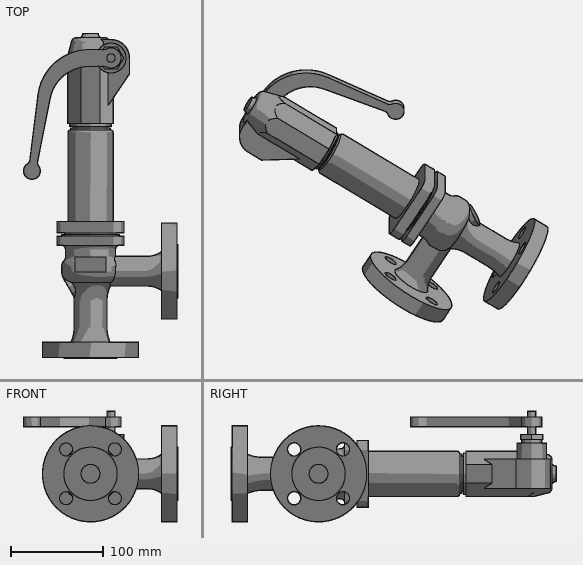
import cadquery as cq
import math


face_distance = 95.0
flange_radius = 52.3
flange_thickness = 17.0
raised_face_radius = 29.0
raised_face_height = 1.0
raised_face_bore_radius = 10.3
bolt_spacing = 53.0
bolt_hole_diameter = 14.0
flange_front = face_distance - raised_face_height
flange_back = flange_front - flange_thickness

flare_radius = 21.2
inlet_radius = 18.0
inlet_flare_start = 61.5
outlet_radius = 16.3
outlet_flare_start = 62.0

shoulder_bottom_y = -31.5
shoulder_top_y = -12.5
shoulder_top_radius = 24.0
bulge_radius = 31.5
bulge_bottom_y = -0.7
bulge_top_y = 5.0
body_neck_radius = 27.2
body_neck_bottom_y = 15.5
body_neck_top_y = 23.0
body_neck_root_radius = 29.7
bulge_blend_share = 0.4

square_size = 72.8
square_corner_radius = 11.0
lower_square_bottom_y = 28.0
lower_square_top_y = 38.2
gasket_radius = 31.5
gasket_top_y = 39.5
spigot_radius = 28.3
upper_square_bottom_y = 41.7
upper_square_top_y = 54.0

tube_radius = 24.7
tube_top_y = 153.5
tube_edge_radius = 3.2
groove_bottom_y = 155.5
groove_top_y = 157.3
groove_radius = 19.0
collar_radius = 22.5

hood_bottom_y = 160.0
hood_corner_radius = tube_radius / math.cos(math.pi / 8)
hood_cone_bottom_y = 227.0
hood_cone_top_y = 247.5
hood_cone_top_radius = 21.2
hood_top_y = 253.8
hood_top_radius = 14.5
knob_top_radius = 8.5
knob_base_radius = 10.5
overall_top_y = 258.5

shaft_x = 22.3
shaft_y = 231.5
housing_radius = 20.0
housing_half_height = 16.0
housing_side_bottom_y = 214.2
housing_tip_x = 19.5
housing_tip_y = 180.3
boss_radius = 16.3
boss_top_z = 33.2
stub_radius = 11.0
nut_bottom_z = 37.0
nut_top_z = 42.8
nut_flat_distance = 24.0
shaft_radius = 4.5
shaft_top_z = 68.2

lever_bottom_z = 51.0
lever_thickness = 11.0
hub_radius = 11.0
arm_half_width = 9.2
bend_start_x = -1.5
outer_bend_radius = 56.2
inner_bend_radius = 43.0
outer_edge_tilt = 7.1
inner_edge_tilt = 11.2
ball_radius = 9.2
ball_x = -63.5
ball_y = 109.0
ball_blend_radius = 5.3

drain_radius = 12.7
drain_tilt = 30.0
drain_face_x = -23.7
drain_face_y = -18.0
drain_length = 19.5

pad_width = 33.2
pad_bottom_y = -0.7
pad_top_y = 15.5
pad_top_z = 35.7


def cylinder_y(radius, bottom, top):
    """Cylinder on the Y axis."""
    return cq.Workplane("XZ", origin=(0, top, 0)).circle(radius).extrude(top - bottom)


def cylinder_on_shaft(radius, bottom, top):
    """Cylinder on the vertical lever shaft axis."""
    return cq.Workplane("XY", origin=(shaft_x, shaft_y, bottom)).circle(radius).extrude(top - bottom)


def tangent_arc_middle(touch, other):
    """Middle of the arc through other that meets the cylinder line (parallel to Y) at touch."""
    across = other[0] - touch[0]
    along = other[1] - touch[1]
    radius = (across**2 + along**2) / (2 * abs(across))
    half_sweep = math.asin(abs(along) / radius) / 2
    middle_across = math.copysign(radius * (1 - math.cos(half_sweep)), across)
    middle_along = math.copysign(radius * math.sin(half_sweep), along)
    return (touch[0] + middle_across, touch[1] + middle_along)


def pipe_end(pipe_radius, flare_start, pipe_start):
    """Pipe, flared neck and drilled flange along -Y, with a raised sealing ring."""
    flare_begin = (pipe_radius, -flare_start)
    flare_end = (flare_radius, -flange_back)
    neck = (
        cq.Workplane("XY")
        .moveTo(0, pipe_start)
        .lineTo(pipe_radius, pipe_start)
        .lineTo(*flare_begin)
        .threePointArc(tangent_arc_middle(flare_begin, flare_end), flare_end)
        .lineTo(0, -flange_back)
        .close()
        .revolve(360, (0, 0, 0), (0, 1, 0))
    )
    disc = cylinder_y(flange_radius, -flange_front, -flange_back)
    sealing_ring = (
        cq.Workplane("XZ", origin=(0, -flange_front, 0))
        .circle(raised_face_radius)
        .circle(raised_face_bore_radius)
        .extrude(raised_face_height)
    )
    bolt_holes = (
        cq.Workplane("XZ", origin=(0, -flange_back, 0))
        .rect(bolt_spacing, bolt_spacing, forConstruction=True)
        .vertices()
        .circle(bolt_hole_diameter / 2)
        .extrude(face_distance - flange_back)
    )
    return neck.union(disc).union(sealing_ring).cut(bolt_holes)


def valve_body():
    """Bulged body of revolution between the inlet pipe and the square flanges."""
    shoulder_bottom = (inlet_radius, shoulder_bottom_y)
    shoulder_top = (shoulder_top_radius, shoulder_top_y)
    bulge_bottom = (bulge_radius, bulge_bottom_y)
    bulge_top = (bulge_radius, bulge_top_y)
    neck_bottom = (body_neck_radius, body_neck_bottom_y)
    neck_top = (body_neck_radius, body_neck_top_y)
    neck_root = (body_neck_root_radius, lower_square_bottom_y)
    blend_joint = (
        body_neck_radius + bulge_blend_share * (bulge_radius - body_neck_radius),
        body_neck_bottom_y + bulge_blend_share * (bulge_top_y - body_neck_bottom_y),
    )
    return (
        cq.Workplane("XY")
        .moveTo(0, shoulder_bottom_y)
        .lineTo(*shoulder_bottom)
        .threePointArc(tangent_arc_middle(shoulder_bottom, shoulder_top), shoulder_top)
        .threePointArc(tangent_arc_middle(bulge_bottom, shoulder_top), bulge_bottom)
        .lineTo(*bulge_top)
        .threePointArc(tangent_arc_middle(bulge_top, blend_joint), blend_joint)
        .threePointArc(tangent_arc_middle(neck_bottom, blend_joint), neck_bottom)
        .lineTo(*neck_top)
        .threePointArc(tangent_arc_middle(neck_top, neck_root), neck_root)
        .lineTo(0, lower_square_bottom_y)
        .close()
        .revolve(360, (0, 0, 0), (0, 1, 0))
    )


def drain_boss():
    """Short round boss leaning from the body towards the inlet."""
    tilt = math.radians(drain_tilt)
    inward = cq.Vector(math.cos(tilt), math.sin(tilt), 0)
    face_centre = cq.Vector(drain_face_x, drain_face_y, 0)
    return cq.Workplane(cq.Solid.makeCylinder(drain_radius, drain_length, face_centre, inward))


def name_plate_pad():
    """Rectangular pad on top of the body."""
    return (
        cq.Workplane("XY")
        .center(0, (pad_bottom_y + pad_top_y) / 2)
        .rect(pad_width, pad_top_y - pad_bottom_y)
        .extrude(pad_top_z)
    )


def square_flange(bottom, top):
    """Square plate with rounded corners, across the Y axis."""
    return (
        cq.Workplane("XZ", origin=(0, top, 0))
        .rect(square_size, square_size)
        .extrude(top - bottom)
        .edges("|Y")
        .fillet(square_corner_radius)
    )


def bonnet():
    """Square flanges, gasket, spring tube and grooved neck."""
    plain_tube = cylinder_y(tube_radius, upper_square_top_y, tube_top_y)
    tube = plain_tube.faces(">Y").edges().fillet(tube_edge_radius)
    return (
        square_flange(lower_square_bottom_y, lower_square_top_y)
        .union(cylinder_y(gasket_radius, lower_square_top_y, gasket_top_y))
        .union(cylinder_y(spigot_radius, gasket_top_y, upper_square_bottom_y))
        .union(square_flange(upper_square_bottom_y, upper_square_top_y))
        .union(tube)
        .union(cylinder_y(tube_radius - tube_edge_radius, tube_top_y, groove_bottom_y))
        .union(cylinder_y(groove_radius, groove_bottom_y, groove_top_y))
        .union(cylinder_y(collar_radius, groove_top_y, hood_bottom_y))
    )


def hood():
    """Octagonal hood trimmed by a cone with a rounded rim, and the flared knob on top."""
    octagon = (
        cq.Workplane("XZ", origin=(0, hood_top_y, 0))
        .polygon(8, 2 * hood_corner_radius)
        .extrude(hood_top_y - hood_bottom_y)
        .rotate((0, 0, 0), (0, 1, 0), 180 / 8)
    )
    rim_start = (hood_cone_top_radius, hood_cone_top_y)
    rim_end = (hood_top_radius, hood_top_y)
    envelope = (
        cq.Workplane("XY")
        .moveTo(0, hood_bottom_y)
        .lineTo(hood_corner_radius, hood_bottom_y)
        .lineTo(hood_corner_radius, hood_cone_bottom_y)
        .lineTo(*rim_start)
        .threePointArc(tangent_arc_middle(rim_start, rim_end), rim_end)
        .lineTo(0, hood_top_y)
        .close()
        .revolve(360, (0, 0, 0), (0, 1, 0))
    )
    knob_base = (knob_base_radius, hood_top_y)
    knob_top = (knob_top_radius, overall_top_y)
    knob = (
        cq.Workplane("XY")
        .moveTo(0, hood_top_y)
        .lineTo(*knob_base)
        .threePointArc(tangent_arc_middle(knob_top, knob_base), knob_top)
        .lineTo(0, overall_top_y)
        .close()
        .revolve(360, (0, 0, 0), (0, 1, 0))
    )
    return octagon.intersect(envelope).union(knob)


def shaft_housing():
    """Flat housing beside the hood, with the shaft boss, gland nut and shaft."""
    housing_side_x = shaft_x + housing_radius
    diagonal = housing_radius * math.sqrt(0.5)
    plate = (
        cq.Workplane("XY", origin=(0, 0, -housing_half_height))
        .moveTo(0, shaft_y + housing_radius)
        .lineTo(shaft_x, shaft_y + housing_radius)
        .threePointArc((shaft_x + diagonal, shaft_y + diagonal), (housing_side_x, shaft_y))
        .lineTo(housing_side_x, housing_side_bottom_y)
        .lineTo(housing_tip_x, housing_tip_y)
        .lineTo(0, housing_tip_y)
        .close()
        .extrude(2 * housing_half_height)
    )
    nut = (
        cq.Workplane("XY", origin=(shaft_x, shaft_y, nut_bottom_z))
        .polygon(6, nut_flat_distance / math.cos(math.pi / 6))
        .extrude(nut_top_z - nut_bottom_z)
    )
    return (
        plate.union(cylinder_on_shaft(boss_radius, 0, boss_top_z))
        .union(cylinder_on_shaft(stub_radius, boss_top_z, nut_bottom_z))
        .union(nut)
        .union(cylinder_on_shaft(shaft_radius, nut_top_z, shaft_top_z))
    )


def bend_point(radius, start_y, angle):
    """Point on a bend that leaves the arm along -X and has turned by angle degrees."""
    turn = math.radians(angle)
    return (bend_start_x - radius * math.sin(turn), start_y - radius * (1 - math.cos(turn)))


def lever():
    """Flat lever: round hub, bent tapering arm and ball end."""
    outer_y = shaft_y + arm_half_width
    inner_y = shaft_y - arm_half_width
    outer_turn = 90 - outer_edge_tilt
    inner_turn = 90 - inner_edge_tilt
    outer_end = bend_point(outer_bend_radius, outer_y, outer_turn)
    inner_end = bend_point(inner_bend_radius, inner_y, inner_turn)
    outer_tip_x = outer_end[0] - (outer_end[1] - ball_y) * math.tan(math.radians(outer_edge_tilt))
    inner_tip_x = inner_end[0] - (inner_end[1] - ball_y) * math.tan(math.radians(inner_edge_tilt))
    base = cq.Workplane("XY", origin=(0, 0, lever_bottom_z))
    arm = (
        base.moveTo(shaft_x, outer_y)
        .lineTo(bend_start_x, outer_y)
        .threePointArc(bend_point(outer_bend_radius, outer_y, outer_turn / 2), outer_end)
        .lineTo(outer_tip_x, ball_y)
        .lineTo(inner_tip_x, ball_y)
        .lineTo(*inner_end)
        .threePointArc(bend_point(inner_bend_radius, inner_y, inner_turn / 2), (bend_start_x, inner_y))
        .lineTo(shaft_x, inner_y)
        .close()
        .extrude(lever_thickness)
    )
    ball = base.center(ball_x, ball_y).circle(ball_radius).extrude(lever_thickness)
    ball_corners = cq.selectors.BoxSelector(
        (ball_x - ball_radius, ball_y + ball_radius / 2, lever_bottom_z),
        (ball_x + ball_radius, ball_y + 2 * ball_radius, lever_bottom_z + lever_thickness),
    )
    blended_arm = arm.union(ball).edges("|Z").edges(ball_corners).fillet(ball_blend_radius)
    hub = cylinder_on_shaft(hub_radius, lever_bottom_z, lever_bottom_z + lever_thickness)
    return blended_arm.union(hub)


inlet = pipe_end(inlet_radius, inlet_flare_start, shoulder_bottom_y)
outlet = pipe_end(outlet_radius, outlet_flare_start, 0).rotate((0, 0, 0), (0, 0, 1), 90)

result = (
    valve_body()
    .union(inlet)
    .union(outlet)
    .union(drain_boss())
    .union(name_plate_pad())
    .union(bonnet())
    .union(hood())
    .union(shaft_housing())
    .union(lever())
)